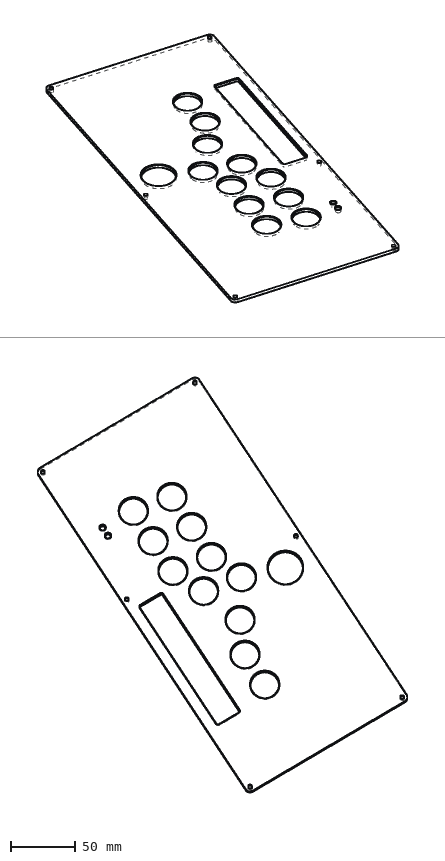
import cadquery as cq

LENGTH = 313.2
WIDTH = 147.5
THICKNESS = 3.0
CORNER_RADIUS = 4.0

RIM_CHAMFER = 0.5
CHAMFER_ANGLE = 45

WINDOW_LENGTH = 116.2
WINDOW_WIDTH = 22.0
WINDOW_CENTER = (-38.5, 54.2)
WINDOW_CORNER_RADIUS = 1.3

BUTTON_DIAMETER = 23.2
BUTTON_PITCH = 29.0
UPPER_ROW_START = (29.8, 27.0)
LOWER_ROW_START = (23.8, -4.7)
ROW_COUNT = 3
LEFT_PAIR_START = (-87.5, 15.7)
SINGLE_BUTTONS = [(-32.0, 3.8), (3.0, 15.5), (-2.8, -15.7)]
THUMB_DIAMETER = 28.2
THUMB_CENTER = (-14.0, -49.0)

SMALL_DIAMETER = 5.3
SMALL_PITCH = 7.8
SMALL_START = (81.0, 54.5)

SCREW_DIAMETER = 3.0
SCREW_INSET = 4.0
BACK_SCREW_X = 29.0
FRONT_SCREW_X = 3.8


def row(start, pitch, count):
    """Centers of equally spaced holes running along +X."""
    return [(start[0] + i * pitch, start[1]) for i in range(count)]


def drill(body, centers, diameter):
    """Cut plain round through holes at the given centers."""
    cutters = cq.Workplane("XY").pushPoints(centers).circle(diameter / 2).extrude(THICKNESS)
    return body.cut(cutters)


def drill_chamfered(body, centers, rim_diameter):
    """Cut round through holes whose chamfered top rims have the given diameter."""
    bore_diameter = rim_diameter - 2 * RIM_CHAMFER
    cutters = (
        cq.Workplane("XY", origin=(0, 0, THICKNESS))
        .pushPoints(centers)
        .circle(rim_diameter / 2)
        .extrude(-RIM_CHAMFER, taper=CHAMFER_ANGLE)
    )
    return drill(body.cut(cutters), centers, bore_diameter)


panel = (
    cq.Workplane("XY")
    .box(LENGTH, WIDTH, THICKNESS, centered=(True, True, False))
    .edges("|Z")
    .fillet(CORNER_RADIUS)
)

window = (
    cq.Workplane("XY")
    .center(*WINDOW_CENTER)
    .rect(WINDOW_LENGTH - 2 * RIM_CHAMFER, WINDOW_WIDTH - 2 * RIM_CHAMFER)
    .extrude(THICKNESS)
    .edges("|Z")
    .fillet(WINDOW_CORNER_RADIUS)
)
window_rim = window.faces(">Z").wires().toPending().offset2D(RIM_CHAMFER)
window_rim = window_rim.extrude(-RIM_CHAMFER, taper=CHAMFER_ANGLE, combine=False)
panel = panel.cut(window).cut(window_rim)

buttons = (
    row(UPPER_ROW_START, BUTTON_PITCH, ROW_COUNT)
    + row(LOWER_ROW_START, BUTTON_PITCH, ROW_COUNT)
    + row(LEFT_PAIR_START, BUTTON_PITCH, 2)
    + SINGLE_BUTTONS
)
panel = drill_chamfered(panel, buttons, BUTTON_DIAMETER)
panel = drill_chamfered(panel, [THUMB_CENTER], THUMB_DIAMETER)
panel = drill_chamfered(panel, row(SMALL_START, SMALL_PITCH, 2), SMALL_DIAMETER)

screw_x = LENGTH / 2 - SCREW_INSET
screw_y = WIDTH / 2 - SCREW_INSET
screws = [(x, screw_y) for x in (-screw_x, BACK_SCREW_X, screw_x)]
screws += [(x, -screw_y) for x in (-screw_x, FRONT_SCREW_X, screw_x)]
panel = drill(panel, screws, SCREW_DIAMETER)

result = panel